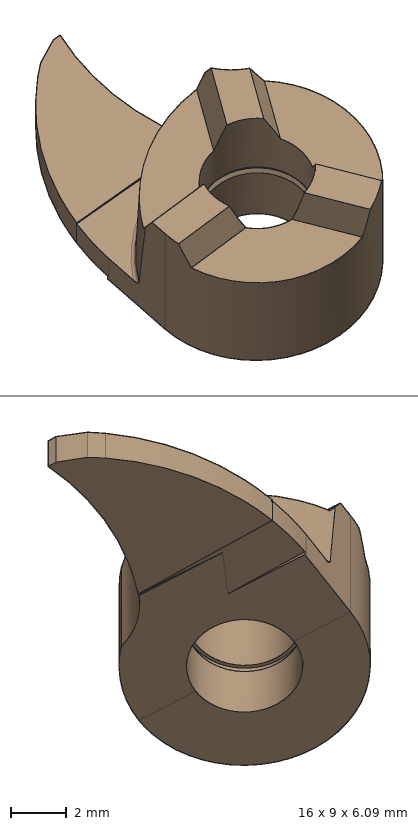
import cadquery as cq
import math

boss_radius = 4.5
bore_radius = 2.08
boss_top = 4.75
tooth_top = 5.76
overall_length = 16.0
tip_x = boss_radius - overall_length

groove_bottom = 2.46
groove_height = 0.37
groove_depth = 0.13

tooth_count = 3
tooth_first_angle = 30.0
tooth_top_width = 1.35
tooth_base_width = 2.45

joint_x = -4.88
joint_y = 1.4
neck_mid = (-3.8, 2.13)
neck_end_x = -3.12
neck_end = (neck_end_x, math.sqrt(boss_radius**2 - neck_end_x**2))
boss_arc_mid_x = neck_end_x / 2
boss_arc_mid = (boss_arc_mid_x, math.sqrt(boss_radius**2 - boss_arc_mid_x**2))
inner_mid = (-8.32, 0.62)
point_inner = (tip_x, 1.0)
point_outer = (tip_x, 0.65)
nose_corner = (-11.04, -0.38)
nose_end = (-10.64, -0.9)
outer_mid = (-7.97, -3.12)
outer_end_x = -2.96

tip_top_at_joint = 1.15
tip_top_slope_x = -0.014
tip_top_slope_y = -0.043
tip_bottom_at_joint = -0.11
tip_bottom_slope_x = 0.026
tip_bottom_slope_y = -0.052
relief_end_x = -3.04
heel_slope_x = 0.022

floor_at_axis = 1.05
floor_tilt = 3.0
wall_radius = 6.56
wall_center_x = wall_radius - boss_radius
wall_center_y = 1.28
wall_fillet = 0.16

span = 4 * overall_length


def block_above(origin, slope_x, slope_y):
    """Large block lying above a sloping plane through origin."""
    plane = cq.Plane(origin=origin, xDir=(1, 0, slope_x), normal=(-slope_x, -slope_y, 1))
    return cq.Workplane(plane).rect(span, span).extrude(span)


def block_below(origin, slope_x, slope_y):
    """Large block lying below a sloping plane through origin."""
    plane = cq.Plane(origin=origin, xDir=(1, 0, slope_x), normal=(-slope_x, -slope_y, 1))
    return cq.Workplane(plane).rect(span, span).extrude(-span)


def outline_prism(bottom, top):
    """Complete plan outline: pointed blade running into the round boss."""
    return (
        cq.Workplane("XY", origin=(0, 0, bottom))
        .moveTo(0, -boss_radius)
        .threePointArc((boss_radius, 0), (0, boss_radius))
        .threePointArc(boss_arc_mid, neck_end)
        .threePointArc(neck_mid, (joint_x, joint_y))
        .threePointArc(inner_mid, point_inner)
        .lineTo(*point_outer)
        .lineTo(*nose_corner)
        .lineTo(*nose_end)
        .threePointArc(outer_mid, (outer_end_x, -boss_radius))
        .close()
        .extrude(top - bottom)
    )


def x_slice(start, end):
    """Large block between two planes normal to X."""
    return cq.Workplane("XY").box(end - start, span, span).translate(((start + end) / 2, 0, 0))


def tooth_blank(angle):
    """Radial bar with a trapezoidal section, reaching past the boss wall."""
    return (
        cq.Workplane("YZ")
        .polyline([
            (-tooth_base_width / 2, boss_top),
            (tooth_base_width / 2, boss_top),
            (tooth_top_width / 2, tooth_top),
            (-tooth_top_width / 2, tooth_top),
        ])
        .close()
        .extrude(2 * boss_radius)
        .rotate((0, 0, 0), (0, 0, 1), angle)
    )


def step_cutter():
    """Space above the blade floor and outside the round step wall."""
    tilt = math.radians(floor_tilt)
    wall_lean = (boss_top - floor_at_axis) * math.tan(tilt)
    center_y = wall_center_y - wall_lean
    floor_z = floor_at_axis - center_y * math.tan(tilt)
    plane = cq.Plane(
        origin=(wall_center_x, center_y, floor_z),
        xDir=(1, 0, 0),
        normal=(0, math.sin(tilt), math.cos(tilt)),
    )
    return (
        cq.Workplane(plane)
        .rect(span, span)
        .circle(wall_radius)
        .extrude(overall_length)
        .edges("%CIRCLE")
        .edges(cq.selectors.NearestToPointSelector((wall_center_x, center_y, floor_z)))
        .fillet(wall_fillet)
    )


tip_bottom_origin = (joint_x, 0, tip_bottom_at_joint)
tip_bottom_slopes = (tip_bottom_slope_x, tip_bottom_slope_y)


def make_holder():
    holder = outline_prism(0, boss_top)
    tooth_zone = outline_prism(boss_top, tooth_top)
    for i in range(tooth_count):
        tooth = tooth_blank(tooth_first_angle + i * 360 / tooth_count)
        holder = holder.union(tooth.intersect(tooth_zone))
    holder = holder.cut(step_cutter())

    lip_drop = -(tip_bottom_at_joint + tip_bottom_slope_y * joint_y)
    lip = (
        cq.Workplane("XZ")
        .polyline([(joint_x, 0), (joint_x, -lip_drop), (joint_x + lip_drop, 0)])
        .close()
        .extrude(span / 2, both=True)
        .intersect(outline_prism(-overall_length, 0))
    )
    holder = holder.union(lip)

    root_relief = block_below(tip_bottom_origin, *tip_bottom_slopes).intersect(x_slice(tip_x, relief_end_x))
    heel_relief = block_below((0, 0, 0), heel_slope_x, 0).intersect(x_slice(0, overall_length))
    holder = holder.cut(root_relief).cut(heel_relief)

    bore = cq.Workplane("XY").circle(bore_radius).extrude(tooth_top)
    groove_radius = bore_radius + groove_depth
    groove_top = groove_bottom + groove_height
    groove = (
        cq.Workplane("XZ")
        .polyline([
            (0, groove_bottom),
            (bore_radius, groove_bottom),
            (groove_radius, groove_bottom + groove_depth),
            (groove_radius, groove_top),
            (0, groove_top),
        ])
        .close()
        .revolve(360, (0, 0, 0), (0, 1, 0))
    )
    holder = holder.cut(bore).cut(groove)
    return holder.intersect(x_slice(joint_x, overall_length))


def make_cutting_tip():
    return (
        outline_prism(-boss_top, boss_top)
        .intersect(x_slice(2 * tip_x, joint_x))
        .cut(block_above((joint_x, 0, tip_top_at_joint), tip_top_slope_x, tip_top_slope_y))
        .cut(block_below(tip_bottom_origin, *tip_bottom_slopes))
    )


holder = make_holder()
cutting_tip = make_cutting_tip()

result = cq.Compound.makeCompound([holder.val(), cutting_tip.val()])